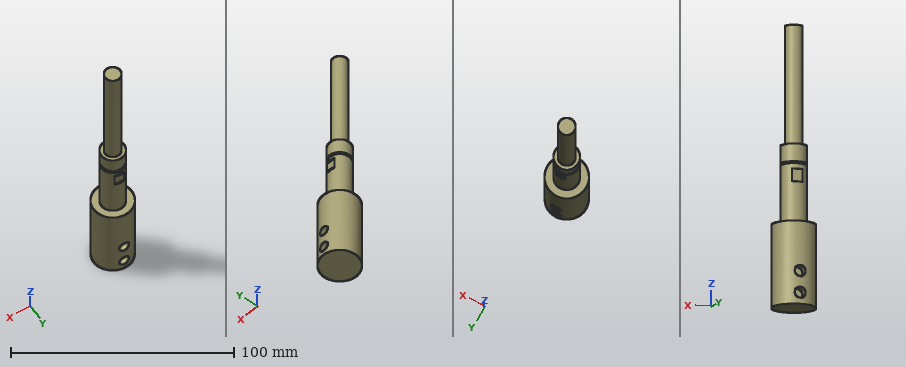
import cadquery as cq

total_height = 129
base_diameter = 20.0
base_height = 38.0
stem_diameter = 12.0
stem_top = 74.2
rod_diameter = 8.0

groove_diameter = 11.0
groove_bottom = 65.3
groove_width = 0.8

flat_bottom = 56.9
flat_length = 5.8
flat_depth = 0.5

hole_diameter = 5.0
hole_depth = hole_diameter
hole_heights = (5.3, 15.2)


def cylinder(diameter, bottom, top):
    return cq.Workplane("XY").workplane(offset=bottom).circle(diameter / 2).extrude(top - bottom)


def ring_groove():
    top = groove_bottom + groove_width
    return cylinder(stem_diameter, groove_bottom, top).cut(cylinder(groove_diameter, groove_bottom, top))


def stem_flat():
    return (
        cq.Workplane("XY")
        .box(stem_diameter, stem_diameter, flat_length, centered=(True, False, False))
        .translate((0, stem_diameter / 2 - flat_depth, flat_bottom))
    )


def radial_hole(height):
    return (
        cq.Workplane("XZ", origin=(0, base_diameter / 2, height))
        .circle(hole_diameter / 2)
        .extrude(hole_depth)
    )


result = (
    cylinder(base_diameter, 0, base_height)
    .union(cylinder(stem_diameter, base_height, stem_top))
    .union(cylinder(rod_diameter, stem_top, total_height))
    .cut(ring_groove())
    .cut(stem_flat())
)
for hole_height in hole_heights:
    result = result.cut(radial_hole(hole_height))